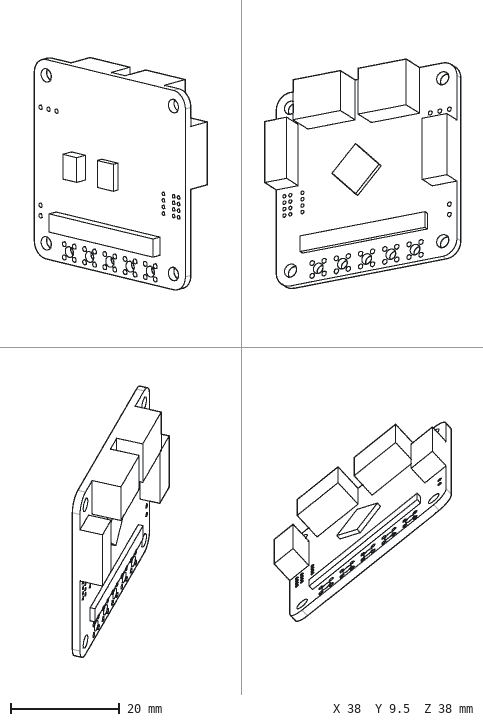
import cadquery as cq

board_size = 38.0
board_thick = 1.52
corner_radius = 3.0
half_board = board_size / 2

mount_hole_dia = 2.5
mount_hole_offset = half_board - corner_radius
pin_hole_dia = 0.8
pin_pitch = 2.0
pin_column_x = -17.4
pin_row_z = 9.65
pin_pair_top_z = -9.0
fine_hole_dia = 0.65
fine_pitch = 1.25
fine_top_z = -1.18
fine_rows = 4
fine_columns_x = (13.5, 16.05, 17.3)
button_count = 5
button_pitch = 5.1
button_z = -16.6
button_hole_dia = 2.0
button_pin_dia = 0.9
button_pin_offset = 1.25

total_depth = 9.5
tall_chip_height = 2.35
tall_socket_height = total_depth - tall_chip_height - board_thick

chip_top_z = 2.6
header_bottom_z = -13.05

turned_chip_side = 7.0
turned_chip_height = 0.87
turned_chip_x = 1.85
turned_chip_z = 1.15
turned_chip_angle = 45


def front_block(x_span, z_span, height):
    """Rectangular component standing on the front face."""
    x_min, x_max = x_span
    z_min, z_max = z_span
    size = (x_max - x_min, height, z_max - z_min)
    return cq.Workplane("XY").box(*size, centered=False).translate((x_min, -height, z_min))


def back_block(x_span, z_span, height):
    """Rectangular component on the back face, rooted at the front face so it fuses with the board."""
    x_min, x_max = x_span
    z_min, z_max = z_span
    size = (x_max - x_min, board_thick + height, z_max - z_min)
    return cq.Workplane("XY").box(*size, centered=False).translate((x_min, 0, z_min))


def drill(body, points, diameter):
    """Cut round holes along Y through the board at the given (x, z) points."""
    holes = cq.Workplane("XZ").pushPoints(points).circle(diameter / 2).extrude(-board_thick)
    return body.cut(holes)


def square_corners(x, z, offset):
    """Four points around (x, z), offset along both axes."""
    return [(x + i * offset, z + k * offset) for i in (-1, 1) for k in (-1, 1)]


board = (
    cq.Workplane("XZ")
    .rect(board_size, board_size)
    .extrude(-board_thick)
    .edges("|Y")
    .fillet(corner_radius)
)

board = drill(board, square_corners(0, 0, mount_hole_offset), mount_hole_dia)

pin_row = [(pin_column_x + i * pin_pitch, pin_row_z) for i in range(3)]
pin_pair = [(pin_column_x, pin_pair_top_z - i * pin_pitch) for i in range(2)]
board = drill(board, pin_row + pin_pair, pin_hole_dia)

fine_holes = [(x, fine_top_z - i * fine_pitch) for x in fine_columns_x for i in range(fine_rows)]
board = drill(board, fine_holes, fine_hole_dia)

for index in range(button_count):
    button_x = (index - (button_count - 1) / 2) * button_pitch
    board = drill(board, [(button_x, button_z)], button_hole_dia)
    board = drill(board, square_corners(button_x, button_z, button_pin_offset), button_pin_dia)

tall_chip = front_block(x_span=(-9.6, -6.1), z_span=(-2.13, chip_top_z), height=tall_chip_height)
flat_chip = front_block(x_span=(-2.0, 2.0), z_span=(-2.55, chip_top_z), height=1.2)
front_header = front_block(x_span=(-13.5, 12.6), z_span=(header_bottom_z, -9.58), height=1.85)

top_left_socket = back_block(x_span=(-11.15, -1.03), z_span=(10.0, half_board), height=5.1)
top_right_socket = back_block(x_span=(2.4, 12.35), z_span=(11.15, half_board), height=tall_socket_height)
left_socket = back_block(x_span=(-half_board, -13.85), z_span=(-4.75, 7.25), height=3.85)
right_socket = back_block(x_span=(14.35, half_board), z_span=(0.38, 12.4), height=4.4)
back_header = back_block(x_span=(-12.8, 13.45), z_span=(header_bottom_z, -9.95), height=0.95)

turned_chip = (
    cq.Workplane("XY")
    .box(
        turned_chip_side,
        board_thick + turned_chip_height,
        turned_chip_side,
        centered=(True, False, True),
    )
    .rotate((0, 0, 0), (0, 1, 0), turned_chip_angle)
    .translate((turned_chip_x, 0, turned_chip_z))
)

components = (
    tall_chip,
    flat_chip,
    front_header,
    top_left_socket,
    top_right_socket,
    left_socket,
    right_socket,
    back_header,
    turned_chip,
)

result = board
for component in components:
    result = result.union(component)